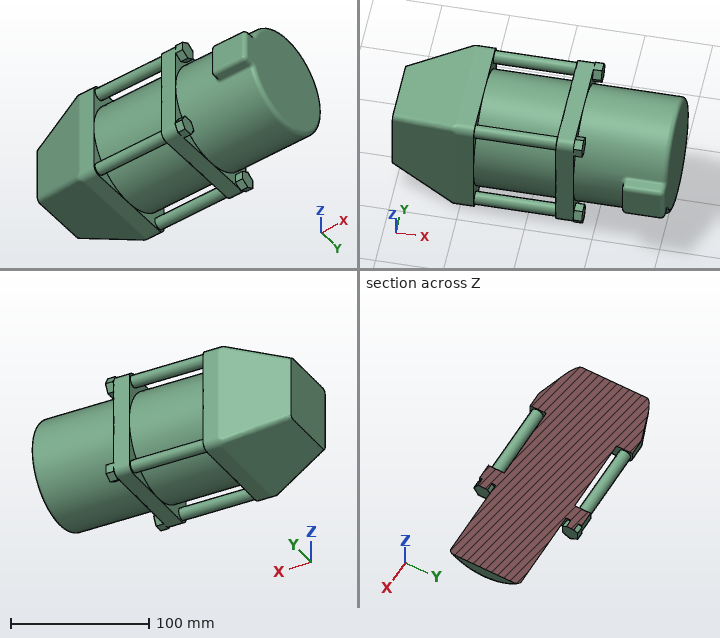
import cadquery as cq
import math

TOTAL_LENGTH = 205.7
NOSE_LENGTH = 50.5
FRONT_PLATE_END = 63.4
REAR_PLATE_START = 124.0
REAR_PLATE_END = 137.0
NUT_THICKNESS = 6.4

BODY_WIDTH = 85.8
BODY_RADIUS = BODY_WIDTH / 2
NOSE_TIP_WIDTH = 52.3
PLATE_CORNER_RADIUS = 6.4
NOSE_EDGE_RADIUS = 4.0

ROD_DIAMETER = 9.7
NUT_ACROSS_FLATS = 12.8
NUT_ACROSS_CORNERS = NUT_ACROSS_FLATS / math.cos(math.pi / 6)
ROD_OFFSET = (BODY_WIDTH - NUT_ACROSS_FLATS) / 2

BOX_START = 174.3
BOX_HEIGHT = 28.5
BOX_REACH = 50.8
OUTER_EDGE_RADIUS = 3.5
BOX_FOOT_RADIUS = 2.5

SELECTION_MARGIN = 0.2


def section(x):
    """YZ sketch plane at station x, facing +X."""
    return cq.Workplane("YZ", origin=(x, 0, 0))


def make_head():
    """Tapered square nose running into the front plate."""
    nose = (
        section(0)
        .rect(NOSE_TIP_WIDTH, NOSE_TIP_WIDTH)
        .workplane(offset=NOSE_LENGTH)
        .rect(BODY_WIDTH, BODY_WIDTH)
        .loft(ruled=True)
    )
    plate = section(NOSE_LENGTH).rect(BODY_WIDTH, BODY_WIDTH).extrude(FRONT_PLATE_END - NOSE_LENGTH)
    head = nose.union(plate).edges("|X").fillet(PLATE_CORNER_RADIUS)
    softened = cq.selectors.BoxSelector(
        (NOSE_LENGTH / 4, -BODY_WIDTH, -BODY_WIDTH),
        (NOSE_LENGTH + SELECTION_MARGIN, BODY_WIDTH, BODY_WIDTH),
    )
    return head.edges(softened).fillet(NOSE_EDGE_RADIUS)


def make_rear_plate():
    """Square plate that the nuts bear against."""
    thickness = REAR_PLATE_END - REAR_PLATE_START
    plate = section(REAR_PLATE_START).rect(BODY_WIDTH, BODY_WIDTH).extrude(thickness)
    return plate.edges("|X").fillet(PLATE_CORNER_RADIUS)


def make_rods_and_nuts():
    """Four tie rods, each nut turned a quarter turn from its neighbour."""
    rod_length = REAR_PLATE_END - FRONT_PLATE_END
    rod = (
        section(FRONT_PLATE_END)
        .center(ROD_OFFSET, ROD_OFFSET)
        .circle(ROD_DIAMETER / 2)
        .extrude(rod_length)
    )
    nut = (
        section(REAR_PLATE_END)
        .center(ROD_OFFSET, ROD_OFFSET)
        .polygon(6, NUT_ACROSS_CORNERS)
        .extrude(NUT_THICKNESS)
    )
    fastener = rod.union(nut)
    fasteners = fastener
    for quarter_turn in range(1, 4):
        fasteners = fasteners.union(fastener.rotate((0, 0, 0), (1, 0, 0), 90 * quarter_turn))
    return fasteners


def make_body():
    """Round body from the front plate to the rear end, with the terminal box."""
    body = section(FRONT_PLATE_END).circle(BODY_RADIUS).extrude(TOTAL_LENGTH - FRONT_PLATE_END)
    box = (
        cq.Workplane("XY")
        .box(TOTAL_LENGTH - BOX_START, BOX_REACH, BOX_HEIGHT, centered=(False, False, True))
        .translate((BOX_START, -BOX_REACH, 0))
        .edges("|Y and <X")
        .fillet(OUTER_EDGE_RADIUS)
    )
    body = body.union(box)
    box_foot = cq.selectors.BoxSelector(
        (BOX_START - SELECTION_MARGIN, -BODY_RADIUS - SELECTION_MARGIN, -BOX_HEIGHT),
        (TOTAL_LENGTH - SELECTION_MARGIN, -BODY_RADIUS + BOX_FOOT_RADIUS, BOX_HEIGHT),
    )
    body = body.edges(box_foot).fillet(BOX_FOOT_RADIUS)
    return body.faces("<Y or >X").edges().fillet(OUTER_EDGE_RADIUS)


result = (
    make_body()
    .union(make_head())
    .union(make_rear_plate())
    .union(make_rods_and_nuts())
)